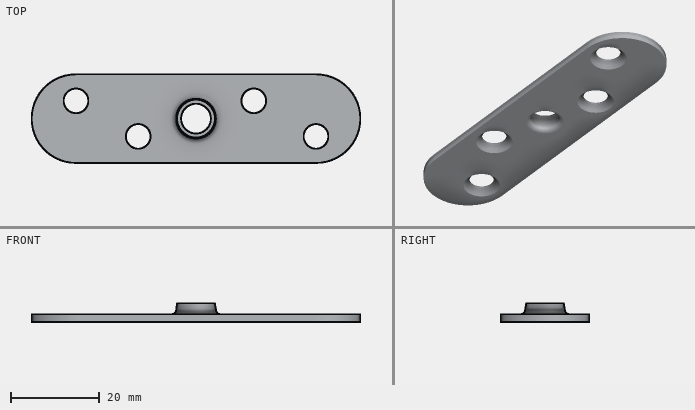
import cadquery as cq
import math

plate_length = 74.0
plate_width = 20.0
plate_thickness = 1.8

mount_hole_diameter = 5.5
mount_hole_offset_y = 4.0
outer_hole_x = 27.0
inner_hole_x = 13.0
countersink_depth = 1.35
countersink_angle = 90.0

overall_height = 4.3
collar_top_diameter = 8.5
collar_base_diameter = 9.0
collar_taper_start = 2.9
foot_fillet_radius = 1.0

bore_diameter = 6.65
bore_mouth_radius = 1.0


def arc_inset(radius):
    """Distance from either tangent line to the middle of a quarter-circle fillet."""
    return radius * (1 - math.cos(math.radians(45)))


def revolve_about_z(half_section):
    return half_section.close().revolve(360, (0, 0, 0), (0, 1, 0))


def make_plate():
    return cq.Workplane("XY").slot2D(plate_length, plate_width).extrude(plate_thickness)


def make_collar():
    """Solid collar, with a concave fillet where it meets the plate."""
    base_radius = collar_base_diameter / 2
    foot_radius = base_radius + foot_fillet_radius
    inset = arc_inset(foot_fillet_radius)
    half_section = (
        cq.Workplane("XZ")
        .lineTo(foot_radius, 0)
        .lineTo(foot_radius, plate_thickness)
        .threePointArc(
            (base_radius + inset, plate_thickness + inset),
            (base_radius, plate_thickness + foot_fillet_radius),
        )
        .lineTo(base_radius, collar_taper_start)
        .lineTo(collar_top_diameter / 2, overall_height)
        .lineTo(0, overall_height)
    )
    return revolve_about_z(half_section)


def make_bore_cutter():
    """Through bore that flares out along a rounded edge at the underside."""
    radius = bore_diameter / 2
    inset = arc_inset(bore_mouth_radius)
    half_section = (
        cq.Workplane("XZ")
        .lineTo(radius + bore_mouth_radius, 0)
        .threePointArc((radius + inset, inset), (radius, bore_mouth_radius))
        .lineTo(radius, overall_height)
        .lineTo(0, overall_height)
    )
    return revolve_about_z(half_section)


def make_mount_hole_cutter():
    """Through hole on the Z axis, countersunk from the underside."""
    radius = mount_hole_diameter / 2
    half_angle = math.radians(countersink_angle / 2)
    mouth_radius = radius + countersink_depth * math.tan(half_angle)
    half_section = (
        cq.Workplane("XZ")
        .lineTo(mouth_radius, 0)
        .lineTo(radius, countersink_depth)
        .lineTo(radius, plate_thickness)
        .lineTo(0, plate_thickness)
    )
    return revolve_about_z(half_section)


def cut_mount_holes(body):
    """Cut two holes on each side of the long axis; a half turn maps one pair to the other."""
    cutter = make_mount_hole_cutter()
    for side in (1, -1):
        y = side * mount_hole_offset_y
        for x in (-side * outer_hole_x, side * inner_hole_x):
            body = body.cut(cutter.translate((x, y, 0)))
    return body


body_with_bore = make_plate().union(make_collar()).cut(make_bore_cutter())
result = cut_mount_holes(body_with_bore)